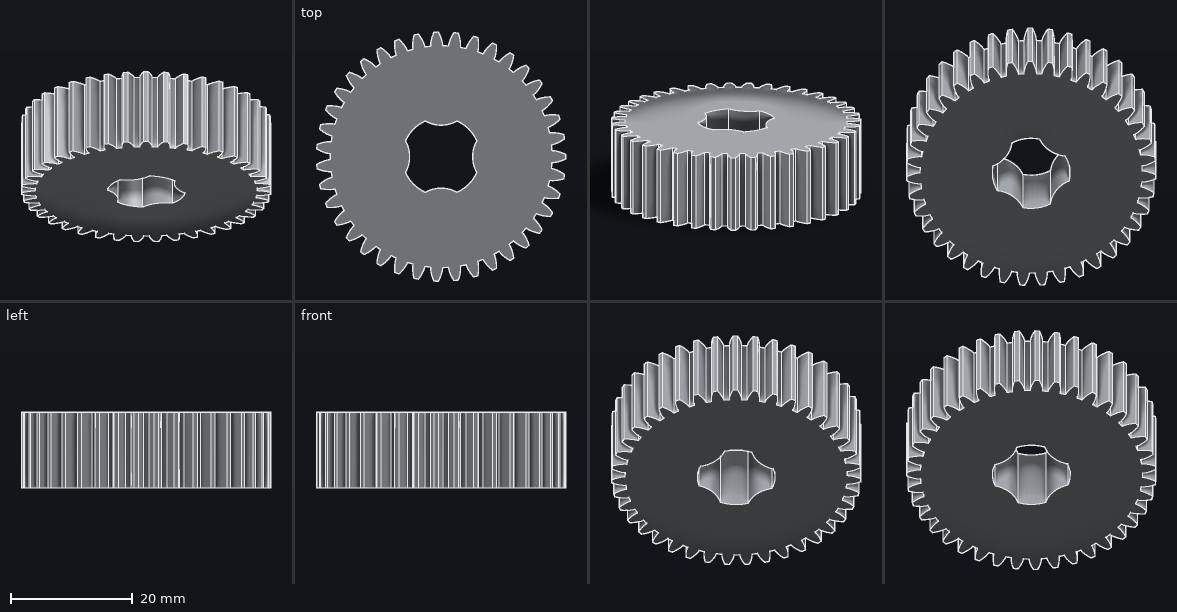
import cadquery as cq
import math

MODULE = 1.0
TEETH = 39
PRESSURE_ANGLE = math.radians(20)
DEDENDUM_FACTOR = 1.25
FACE_WIDTH = 12.5
FLANK_POINTS = 6

BORE_RADIUS = 6.4
LOBE_COUNT = 4
LOBE_RADIUS = 5.25
LOBE_TIP_DISTANCE = 5.15

PITCH_RADIUS = MODULE * TEETH / 2
TIP_RADIUS = PITCH_RADIUS + MODULE
ROOT_RADIUS = PITCH_RADIUS - DEDENDUM_FACTOR * MODULE
BASE_RADIUS = PITCH_RADIUS * math.cos(PRESSURE_ANGLE)
TOOTH_PITCH = 2 * math.pi / TEETH


def polar(radius, angle):
    return (radius * math.cos(angle), radius * math.sin(angle))


def involute(angle):
    return math.tan(angle) - angle


def half_tooth_angle(radius):
    """Half the angle a tooth spans at a radius on or outside the base circle."""
    local_pressure_angle = math.acos(BASE_RADIUS / radius)
    return TOOTH_PITCH / 4 + involute(PRESSURE_ANGLE) - involute(local_pressure_angle)


def flank_radii():
    step = (TIP_RADIUS - BASE_RADIUS) / (FLANK_POINTS - 1)
    inner_radii = [BASE_RADIUS + i * step for i in range(FLANK_POINTS - 1)]
    return inner_radii + [TIP_RADIUS]


def add_tooth(outline, center):
    """Draw one tooth from its root start, then the root arc up to the next tooth."""
    radii = flank_radii()
    rising = [polar(r, center - half_tooth_angle(r)) for r in radii]
    falling = [polar(r, center + half_tooth_angle(r)) for r in reversed(radii)]
    root_half_angle = half_tooth_angle(BASE_RADIUS)
    next_center = center + TOOTH_PITCH

    outline = outline.lineTo(*rising[0])
    outline = outline.spline(rising[1:], includeCurrent=True)
    outline = outline.threePointArc(polar(TIP_RADIUS, center), falling[0])
    outline = outline.spline(falling[1:], includeCurrent=True)
    outline = outline.lineTo(*polar(ROOT_RADIUS, center + root_half_angle))
    return outline.threePointArc(
        polar(ROOT_RADIUS, center + TOOTH_PITCH / 2),
        polar(ROOT_RADIUS, next_center - root_half_angle),
    )


def make_toothed_blank():
    """Gear body with the first tooth centered on +X."""
    outline = cq.Workplane("XY").moveTo(*polar(ROOT_RADIUS, -half_tooth_angle(BASE_RADIUS)))
    for i in range(TEETH):
        outline = add_tooth(outline, i * TOOTH_PITCH)
    return outline.close().extrude(FACE_WIDTH)


def make_bore():
    """Through-hole volume: a cylinder with a round lobe removed on each axis direction."""
    lobe_center_distance = LOBE_TIP_DISTANCE + LOBE_RADIUS
    lobes = (
        cq.Workplane("XY")
        .polarArray(lobe_center_distance, 0, 360, LOBE_COUNT)
        .circle(LOBE_RADIUS)
        .extrude(FACE_WIDTH)
    )
    return cq.Workplane("XY").circle(BORE_RADIUS).extrude(FACE_WIDTH).cut(lobes)


result = make_toothed_blank().cut(make_bore())